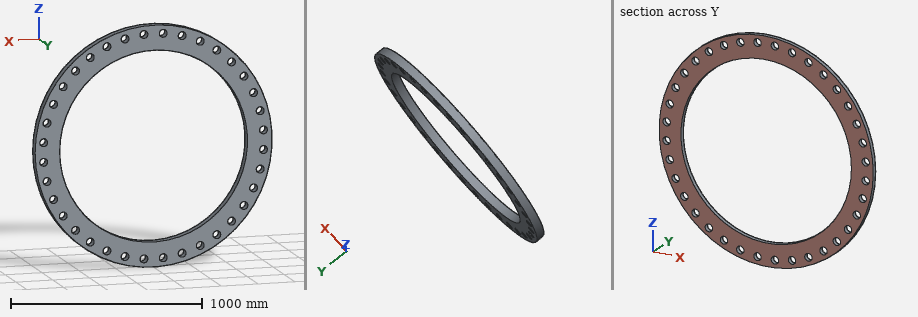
import cadquery as cq

outer_diameter = 1289.0
bore_diameter = 1021.0
thickness = 49.0

bolt_circle_diameter = 1200.0
bolt_hole_diameter = 41.0
bolt_hole_count = 36
first_hole_angle = 360 / bolt_hole_count / 2


def flange_ring():
    """Plain ring with its back face on the XZ plane."""
    return (
        cq.Workplane("XZ")
        .circle(outer_diameter / 2)
        .circle(bore_diameter / 2)
        .extrude(thickness)
    )


def bolt_holes():
    """Cylinders that cut the bolt holes through the full thickness."""
    return (
        cq.Workplane("XZ")
        .polarArray(bolt_circle_diameter / 2, first_hole_angle, 360, bolt_hole_count)
        .circle(bolt_hole_diameter / 2)
        .extrude(thickness)
    )


result = flange_ring().cut(bolt_holes())